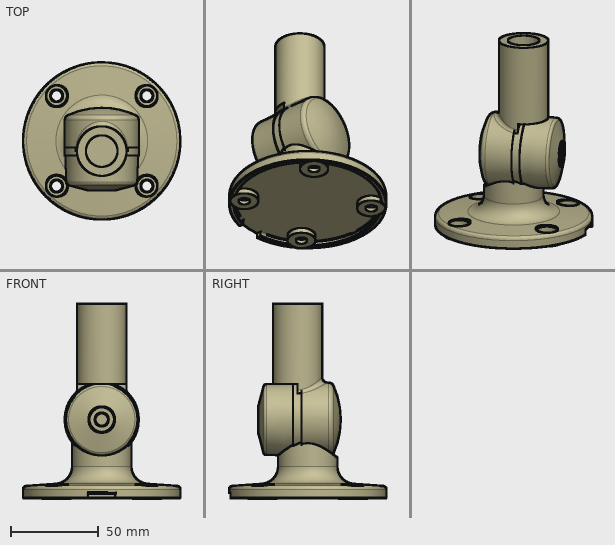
import cadquery as cq
import math

total_height = 111.5
plate_radius = 90.0 / 2
pad_height = 0.3
plate_edge_height = 7.5
plate_crown_height = 8.8
plate_edge_fillet = 2.2
plate_foot_chamfer = 0.5

rim_thickness = 3.0
hollow_ceiling = 3.3
hollow_corner_fillet = 0.5

neck_radius = 17.1
flare_radius = 9.7
flare_outer_radius = 26.2
flare_top_height = plate_crown_height + flare_radius

hole_offset = 25.8
pad_radius = 8.0
hole_radius = 3.2
hole_chamfer = 0.5
counterbore_radius = 5.9
counterbore_chamfer = 0.6
counterbore_floor = 3.2

slot_width = 15.4
slot_top = hollow_ceiling
slot_round = 0.6

hinge_height = 45.4
hinge_radius = 21.2
joint_y = -3.7
hinge_clearance = 0.6

collar_end_y = -8.4
cone_start_radius = 20.7
cone_end_radius = 20.3
cap_edge_y = -25.0
cap_end_y = -28.3
cap_edge_fillet = 1.9

recess_radius = 7.0
recess_chamfer = 0.6
recess_depth = 1.3
socket_radius = 3.6
socket_chamfer = 0.5
socket_depth = 2.2

dome_edge_y = 13.8
dome_tip_y = 19.0
dome_edge_fillet = 3.1

tube_radius = 14.2
tube_bore_radius = 9.0
tube_y = -5.8
tube_foot_height = hinge_height + 20.3
tube_fillet = 2.8
bore_floor_thickness = 2.2
bore_floor_height = hinge_height + hinge_radius + bore_floor_thickness

reach = 2 * plate_radius
margin = 0.1


def hinge_cylinder(radius, start_y, end_y):
    """Cylinder about the hinge axis between two Y positions."""
    cylinder = cq.Workplane("XZ", origin=(0, start_y, hinge_height)).circle(radius)
    return cylinder.extrude(start_y - end_y)


def revolve_about_hinge(outline):
    """Turn a closed (radius, y) outline around the hinge axis."""
    return outline.close().revolve(360, (0, 0, 0), (0, 1, 0)).translate((0, 0, hinge_height))


def round_rim(drum, rim_y, radius):
    """Fillet the circular edge of a drum that lies at the given Y."""
    rim_zone = cq.selectors.BoxSelector((-reach, rim_y - margin, -reach), (reach, rim_y + margin, reach))
    return drum.edges(rim_zone).edges("%CIRCLE").fillet(radius)


def half_space_behind(y):
    """Large box filling everything on the +Y side of y."""
    return cq.Workplane("XY").box(reach, reach, 2 * reach, centered=(True, False, True)).translate((0, y, 0))


def make_plate_and_neck():
    flare_mid = math.radians(45)
    flare_mid_point = (
        neck_radius + flare_radius * (1 - math.cos(flare_mid)),
        flare_top_height - flare_radius * math.sin(flare_mid),
    )
    body = (
        cq.Workplane("XZ")
        .moveTo(0, pad_height)
        .lineTo(plate_radius, pad_height)
        .lineTo(plate_radius, plate_edge_height)
        .lineTo(flare_outer_radius, plate_crown_height)
        .threePointArc(flare_mid_point, (neck_radius, flare_top_height))
        .lineTo(neck_radius, hinge_height)
        .lineTo(0, hinge_height)
        .close()
        .revolve(360, (0, 0, 0), (0, 1, 0))
    )
    hollow = cq.Workplane("XY").circle(plate_radius - rim_thickness).extrude(hollow_ceiling)
    hollow = hollow.faces(">Z").edges().fillet(hollow_corner_fillet)
    body = body.cut(hollow)
    body = body.faces("<Z").edges().chamfer(plate_foot_chamfer)
    top_edge_zone = cq.selectors.BoxSelector(
        (-reach, -reach, plate_edge_height - margin),
        (reach, reach, plate_edge_height + margin),
    )
    return body.edges(top_edge_zone).edges("%CIRCLE").fillet(plate_edge_fillet)


def hole_section(radius, chamfer, floor_height, mouth_height):
    """Vertical round cutter with a conical mouth, open upwards."""
    return (
        cq.Workplane("XZ")
        .moveTo(0, floor_height)
        .lineTo(radius, floor_height)
        .lineTo(radius, mouth_height - chamfer)
        .lineTo(radius + chamfer, mouth_height)
        .lineTo(radius + chamfer, mouth_height + chamfer)
        .lineTo(0, mouth_height + chamfer)
        .close()
        .revolve(360, (0, 0, 0), (0, 1, 0))
    )


def add_screw_holes(body):
    plate_slope = (plate_crown_height - plate_edge_height) / (plate_radius - flare_outer_radius)
    hole_distance = math.hypot(hole_offset, hole_offset)
    mouth_height = plate_crown_height - plate_slope * (hole_distance - flare_outer_radius)
    counterbore = hole_section(counterbore_radius, counterbore_chamfer, counterbore_floor, mouth_height)
    through_hole = hole_section(hole_radius, hole_chamfer, -pad_height, counterbore_floor)
    pad_top = (hollow_ceiling + plate_edge_height) / 2
    pad = cq.Workplane("XY").circle(pad_radius).extrude(pad_top)
    for x in (-hole_offset, hole_offset):
        for y in (-hole_offset, hole_offset):
            place = (x, y, 0)
            body = body.union(pad.translate(place))
            body = body.cut(counterbore.translate(place)).cut(through_hole.translate(place))
    return body


def cut_rim_slot(body):
    slot = cq.Workplane("XY").box(slot_width, 4 * rim_thickness, 2 * slot_top)
    body = body.cut(slot.translate((0, -plate_radius, 0)))
    mouth_zone = cq.selectors.BoxSelector(
        (-slot_width / 2 - margin, -plate_radius - margin, plate_foot_chamfer + pad_height),
        (slot_width / 2 + margin, -plate_radius + rim_thickness / 2, slot_top + margin),
    )
    return body.edges(mouth_zone).fillet(slot_round)


def make_front_drum():
    drum = revolve_about_hinge(
        cq.Workplane("XY")
        .moveTo(0, joint_y)
        .lineTo(hinge_radius, joint_y)
        .lineTo(hinge_radius, collar_end_y)
        .lineTo(cone_start_radius, collar_end_y)
        .lineTo(cone_end_radius, cap_edge_y)
        .lineTo(recess_radius + recess_chamfer, cap_end_y)
        .lineTo(0, cap_end_y)
    )
    return round_rim(drum, cap_edge_y, cap_edge_fillet)


def make_screw_recess():
    recess_floor_y = cap_end_y + recess_depth
    return revolve_about_hinge(
        cq.Workplane("XY")
        .moveTo(0, cap_end_y)
        .lineTo(recess_radius + recess_chamfer, cap_end_y)
        .lineTo(recess_radius, cap_end_y + recess_chamfer)
        .lineTo(recess_radius, recess_floor_y)
        .lineTo(socket_radius + socket_chamfer, recess_floor_y)
        .lineTo(socket_radius, recess_floor_y + socket_chamfer)
        .lineTo(socket_radius, recess_floor_y + socket_depth)
        .lineTo(0, recess_floor_y + socket_depth)
    )


def make_base():
    body = cut_rim_slot(add_screw_holes(make_plate_and_neck()))
    swing_room = hinge_cylinder(hinge_radius + hinge_clearance, reach, joint_y)
    return body.cut(swing_room).union(make_front_drum()).cut(make_screw_recess())


def make_rear_drum():
    """Domed drum, carried forward past the tube so that the tube fillet can run all round."""
    dome_rise = dome_tip_y - dome_edge_y
    dome_sphere_radius = (hinge_radius**2 + dome_rise**2) / (2 * dome_rise)
    half_angle = math.asin(hinge_radius / dome_sphere_radius) / 2
    dome_mid_point = (
        dome_sphere_radius * math.sin(half_angle),
        dome_tip_y - dome_sphere_radius * (1 - math.cos(half_angle)),
    )
    drum = revolve_about_hinge(
        cq.Workplane("XY")
        .moveTo(0, cap_end_y)
        .lineTo(hinge_radius, cap_end_y)
        .lineTo(hinge_radius, dome_edge_y)
        .threePointArc(dome_mid_point, (0, dome_tip_y))
    )
    return round_rim(drum, dome_edge_y, dome_edge_fillet)


def tube_cylinder(radius, floor_height):
    cylinder = cq.Workplane("XY", origin=(0, tube_y, floor_height)).circle(radius)
    return cylinder.extrude(total_height - floor_height)


def make_arm():
    drum_with_tube = make_rear_drum().union(tube_cylinder(tube_radius, hinge_height))
    tube_root_zone = cq.selectors.BoxSelector(
        (-tube_radius - margin, tube_y - tube_radius - margin, hinge_height + margin),
        (tube_radius + margin, tube_y + tube_radius + margin, hinge_height + hinge_radius + margin),
        boundingbox=True,
    )
    drum_with_tube = drum_with_tube.edges(tube_root_zone).fillet(tube_fillet)

    rear_half = drum_with_tube.intersect(half_space_behind(tube_y))
    front_half = tube_cylinder(tube_radius, tube_foot_height).cut(half_space_behind(tube_y))
    arm = rear_half.union(front_half).cut(make_front_drum())
    return arm.cut(tube_cylinder(tube_bore_radius, bore_floor_height))


base = make_base()
arm = make_arm()

result = cq.Compound.makeCompound([base.solids().val(), arm.solids().val()])